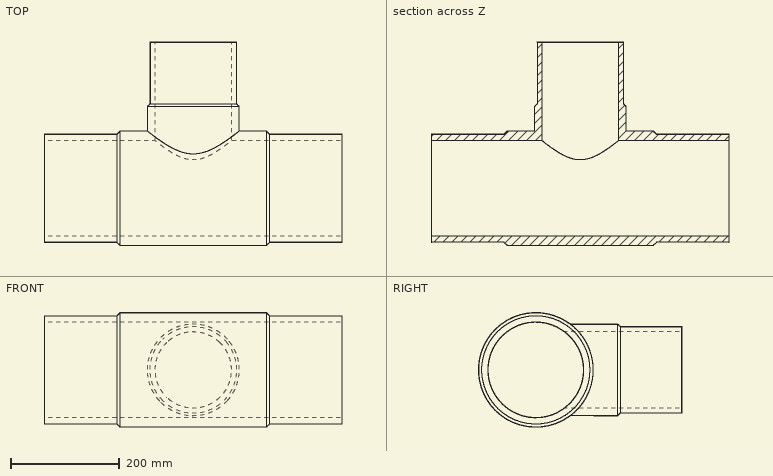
import cadquery as cq

run_length = 550.0
run_diameter = 200.0
run_bore = 176.2
run_sleeve_diameter = 211.9
run_sleeve_length = 282.0

branch_reach = 270.0
branch_diameter = 160.0
branch_bore = 141.0
branch_sleeve_diameter = 169.5
branch_sleeve_reach = 156.0

run_bevel = (run_sleeve_diameter - run_diameter) / 2
branch_bevel = (branch_sleeve_diameter - branch_diameter) / 2


def run_cylinder(diameter, length):
    """Cylinder along X, centred on the origin."""
    return cq.Workplane("YZ").circle(diameter / 2).extrude(length / 2, both=True)


def branch_cylinder(diameter, reach):
    """Cylinder along +Y, starting at the run axis."""
    return cq.Workplane("XZ").circle(diameter / 2).extrude(-reach)


def make_run():
    """Run pipe with a sleeve bevelled at both ends."""
    sleeve = run_cylinder(run_sleeve_diameter, run_sleeve_length)
    sleeve = sleeve.faces("<X or >X").chamfer(run_bevel)
    return run_cylinder(run_diameter, run_length).union(sleeve)


def make_branch():
    """Branch pipe with a sleeve bevelled at its outer end."""
    sleeve = branch_cylinder(branch_sleeve_diameter, branch_sleeve_reach)
    sleeve = sleeve.faces(">Y").chamfer(branch_bevel)
    return branch_cylinder(branch_diameter, branch_reach).union(sleeve)


def make_tee():
    """Join run and branch, then open both bores into each other."""
    body = make_run().union(make_branch())
    body = body.cut(run_cylinder(run_bore, run_length))
    return body.cut(branch_cylinder(branch_bore, branch_reach))


result = make_tee()